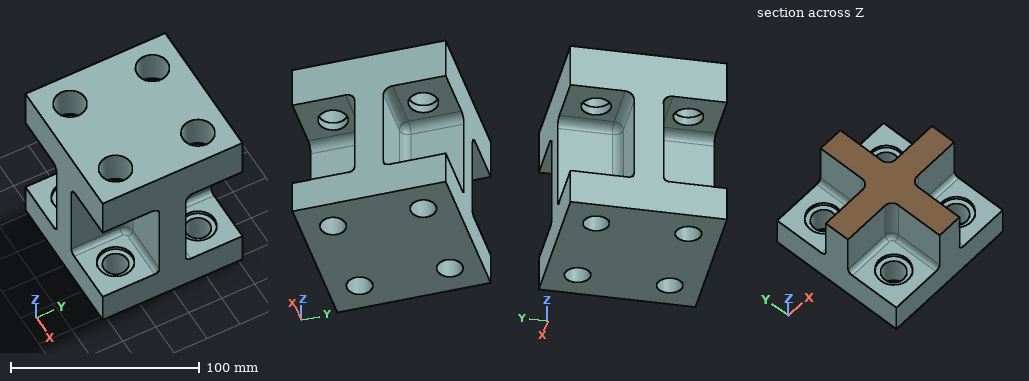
import cadquery as cq

side = 85.0
height = 100.0

base_thickness = 20.0
head_thickness = 25.0
web_thickness = 16.0

corner_radius = 5.0
floor_radius = 3.0

hole_pitch = 50.0
base_hole_diameter = 14.0
spotface_diameter = 20.0
spotface_depth = 2.0
head_hole_diameter = 18.0
head_ledge_diameter = 16.0
head_ledge_thickness = 5.0

pocket_height = height - base_thickness - head_thickness
pocket_width = (side - web_thickness) / 2
pocket_offset = (web_thickness + pocket_width) / 2
head_bottom = height - head_thickness
quadrants = [(x_sign, y_sign) for x_sign in (-1, 1) for y_sign in (-1, 1)]


def corner_pocket(x_sign, y_sign):
    """Volume removed from one corner between the plates, with its rounded inner edges."""
    pocket = cq.Workplane("XY").box(
        pocket_width, pocket_width, pocket_height, centered=(True, True, False)
    )
    pocket = pocket.translate((x_sign * pocket_offset, y_sign * pocket_offset, base_thickness))
    inner_x = "<X" if x_sign > 0 else ">X"
    inner_y = "<Y" if y_sign > 0 else ">Y"
    vertical_edge = pocket.faces(inner_x).edges(inner_y)
    top_edges = pocket.faces(">Z").edges(f"{inner_x} or {inner_y}")
    pocket = pocket.newObject(vertical_edge.vals() + top_edges.vals()).fillet(corner_radius)
    floor_edge = pocket.faces(inner_x).edges("<Z")
    return pocket.newObject(floor_edge.vals()).fillet(floor_radius)


def hole_cylinders(diameter, bottom, top):
    """Vertical cylinders at the four hole positions between two heights."""
    return (
        cq.Workplane("XY", origin=(0, 0, bottom))
        .rect(hole_pitch, hole_pitch, forConstruction=True)
        .vertices()
        .circle(diameter / 2)
        .extrude(top - bottom)
    )


result = cq.Workplane("XY").box(side, side, height, centered=(True, True, False))

for x_sign, y_sign in quadrants:
    result = result.cut(corner_pocket(x_sign, y_sign))

result = result.cut(hole_cylinders(base_hole_diameter, 0, base_thickness))
result = result.cut(hole_cylinders(spotface_diameter, base_thickness - spotface_depth, base_thickness))

result = result.cut(hole_cylinders(head_ledge_diameter, head_bottom, height))
result = result.cut(hole_cylinders(head_hole_diameter, head_bottom + head_ledge_thickness, height))